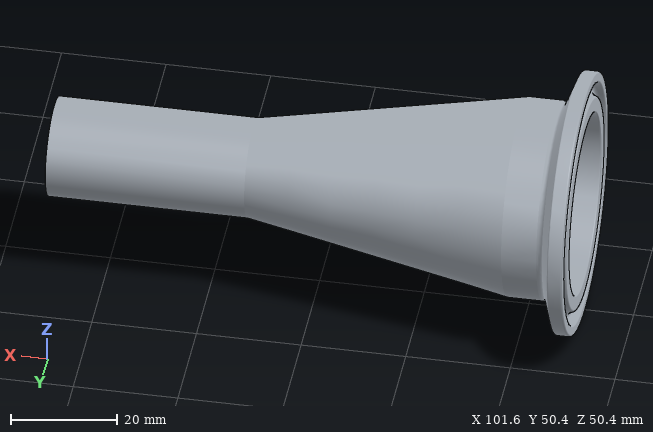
import cadquery as cq
import math


total_length = 101.6
large_tube_end = 12.7
small_tube_length = 38.1
cone_end = total_length - small_tube_length

large_outer_radius = 38.1 / 2
large_bore_radius = 34.7 / 2
small_outer_radius = 19.1 / 2
small_bore_radius = 15.7 / 2

flange_radius = 50.4 / 2
rim_thickness = 2.8
back_angle = math.radians(20)
rim_fillet = 0.4
neck_fillet = 1.3
bore_fillet = 0.3

groove_inner_radius = 20.3
groove_outer_radius = 23.2
groove_wall_depth = 0.8
groove_wall_angle = math.radians(25)
groove_edge_fillet = 0.4

neck_position = rim_thickness + (flange_radius - large_outer_radius) * math.tan(back_angle)

groove_mid_radius = (groove_inner_radius + groove_outer_radius) / 2
groove_wall_taper = groove_wall_depth * math.tan(groove_wall_angle)
groove_bottom_half_width = (groove_outer_radius - groove_inner_radius) / 2 - groove_wall_taper
groove_bottom_height = groove_bottom_half_width * math.tan(math.pi / 4 - groove_wall_angle / 2)
groove_depth = groove_wall_depth + groove_bottom_height


def turned(profile):
    """Revolve a closed half profile, drawn as (X, radius), about the X axis."""
    return profile.close().revolve(360, (0, 0, 0), (1, 0, 0))


def circle_edges(x, radius):
    """Box selector enclosing only the circular edge at the given place."""
    margin = 0.01
    reach = radius + margin
    return cq.selectors.BoxSelector(
        (x - margin, -reach, -reach), (x + margin, reach, reach), boundingbox=True
    ) - cq.selectors.BoxSelector(
        (x - margin, -radius + margin, -radius + margin),
        (x + margin, radius - margin, radius - margin),
        boundingbox=True,
    )


def reducer_body():
    """Wall of the flange, large tube, cone and small tube."""
    profile = cq.Workplane("XY").polyline([
        (0, large_bore_radius),
        (0, flange_radius),
        (rim_thickness, flange_radius),
        (neck_position, large_outer_radius),
        (large_tube_end, large_outer_radius),
        (cone_end, small_outer_radius),
        (total_length, small_outer_radius),
        (total_length, small_bore_radius),
        (cone_end, small_bore_radius),
        (large_tube_end, large_bore_radius),
    ])
    return turned(profile)


def gasket_groove():
    """Ring with tapered walls and a round bottom, cut from the clamp face."""
    profile = (
        cq.Workplane("XY")
        .moveTo(0, groove_inner_radius)
        .lineTo(groove_wall_depth, groove_mid_radius - groove_bottom_half_width)
        .threePointArc(
            (groove_depth, groove_mid_radius),
            (groove_wall_depth, groove_mid_radius + groove_bottom_half_width),
        )
        .lineTo(0, groove_outer_radius)
    )
    return turned(profile)


body = reducer_body()
body = body.edges(circle_edges(neck_position, large_outer_radius)).fillet(neck_fillet)
for rim_x in (0, rim_thickness):
    body = body.edges(circle_edges(rim_x, flange_radius)).fillet(rim_fillet)
body = body.edges(circle_edges(0, large_bore_radius)).fillet(bore_fillet)

body = body.cut(gasket_groove())
for edge_radius in (groove_inner_radius, groove_outer_radius):
    body = body.edges(circle_edges(0, edge_radius)).fillet(groove_edge_fillet)

result = body